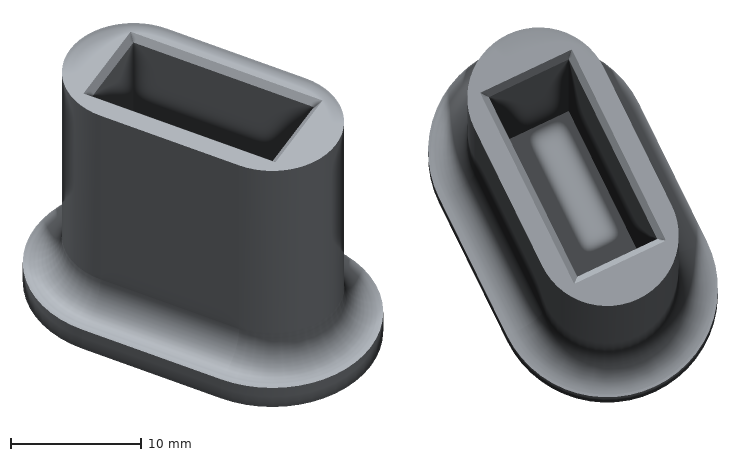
import cadquery as cq

turn_angle = 45.0
total_height = 22.0
center_spacing = 12.0

column_radius = 5.5
flange_radius = 8.5
flange_thickness = 2.0
flange_rim = 0.2
root_fillet = flange_radius - column_radius - flange_rim

pocket_length = 15.6
pocket_width = 6.8
pocket_floor = flange_thickness
pocket_depth = total_height - pocket_floor
mouth_chamfer = 0.5
mouth_flare_angle = 45.0


def oval_prism(end_radius, height):
    """Upright prism with straight sides and round ends, long axis on X."""
    overall_length = center_spacing + 2 * end_radius
    return cq.Workplane("XY").slot2D(overall_length, 2 * end_radius).extrude(height)


def make_body():
    """Column and flange joined by a concave fillet all around the root."""
    flange = oval_prism(flange_radius, flange_thickness)
    column = oval_prism(column_radius, total_height)
    reach_x = center_spacing / 2 + column_radius + flange_rim
    reach_y = column_radius + flange_rim
    root_edges = cq.selectors.BoxSelector(
        (-reach_x, -reach_y, flange_thickness - flange_rim),
        (reach_x, reach_y, flange_thickness + flange_rim),
        boundingbox=True,
    )
    return flange.union(column).edges(root_edges).fillet(root_fillet)


def make_pocket():
    """Pocket volume: a straight box with a chamfered flare at the mouth."""
    box = (
        cq.Workplane("XY")
        .workplane(offset=pocket_floor)
        .rect(pocket_length, pocket_width)
        .extrude(pocket_depth)
    )
    flare = (
        cq.Workplane("XY")
        .workplane(offset=total_height)
        .rect(pocket_length + 2 * mouth_chamfer, pocket_width + 2 * mouth_chamfer)
        .extrude(-mouth_chamfer, taper=mouth_flare_angle)
    )
    return box.union(flare)


part = make_body().cut(make_pocket())
result = part.rotate((0, 0, 0), (0, 0, 1), turn_angle)